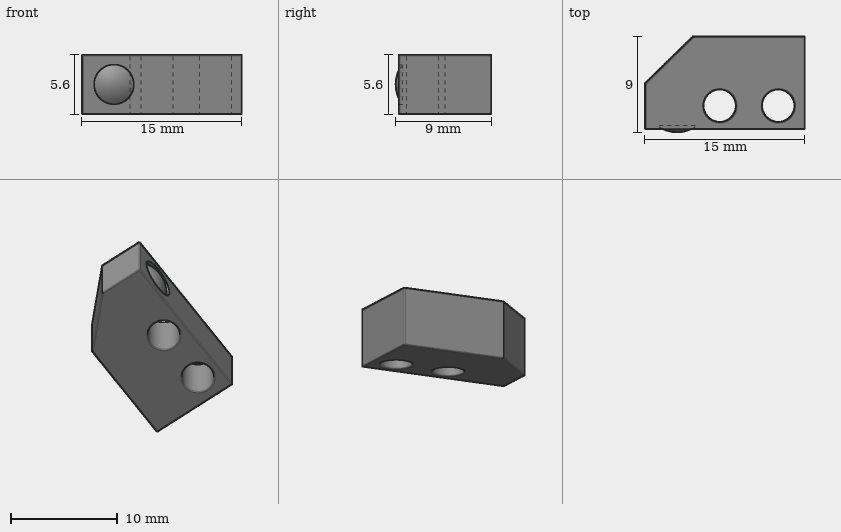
import cadquery as cq

length = 15.0
overall_depth = 9.0
height = 5.6
dome_projection = 0.3
body_depth = overall_depth - dome_projection
corner_cut_x = 4.5
corner_cut_y = 4.4
edge_radius = 0.1

hole_diameter = 3.03
first_hole_x = 7.0
hole_spacing = 5.49
hole_y = 2.2

dome_x = 3.0
dome_z = height / 2
dome_radius = 3.0
recess_radius = 1.86
dome_center_y = dome_radius - dome_projection
rim_depth = dome_center_y - (dome_radius**2 - recess_radius**2) ** 0.5


def make_block():
    """Block with one cut corner; the edges are rounded, except the two obtuse ones."""
    outline = [
        (0, 0),
        (length, 0),
        (length, body_depth),
        (corner_cut_x, body_depth),
        (0, body_depth - corner_cut_y),
    ]
    block = cq.Workplane("XY").polyline(outline).close().extrude(height)
    rims = block.faces("<Z or >Z").edges()
    square_corners = block.edges("|Z and (<Y or >X)")
    return block.newObject(rims.vals() + square_corners.vals()).fillet(edge_radius)


def cut_rounded_holes(block):
    """Drill both through holes and round their mouths, top and bottom."""
    hole_places = [(first_hole_x + number * hole_spacing, hole_y) for number in range(2)]
    cutters = cq.Workplane("XY").pushPoints(hole_places).circle(hole_diameter / 2).extrude(height)
    return block.cut(cutters).faces("<Z or >Z").edges("%CIRCLE").fillet(edge_radius)


def make_recess():
    """Round pocket running inward from the front face to the rim of the dome."""
    front = cq.Workplane("XZ").center(dome_x, dome_z)
    return front.circle(recess_radius).extrude(-rim_depth)


def make_dome():
    """Spherical cap whose rim meets the recess wall."""
    profile = (
        cq.Workplane("XY")
        .moveTo(0, -dome_projection)
        .radiusArc((recess_radius, rim_depth), -dome_radius)
        .lineTo(0, rim_depth)
        .close()
    )
    return profile.revolve(360, (0, 0), (0, 1)).translate((dome_x, 0, dome_z))


block = cut_rounded_holes(make_block())
result = block.cut(make_recess()).union(make_dome())